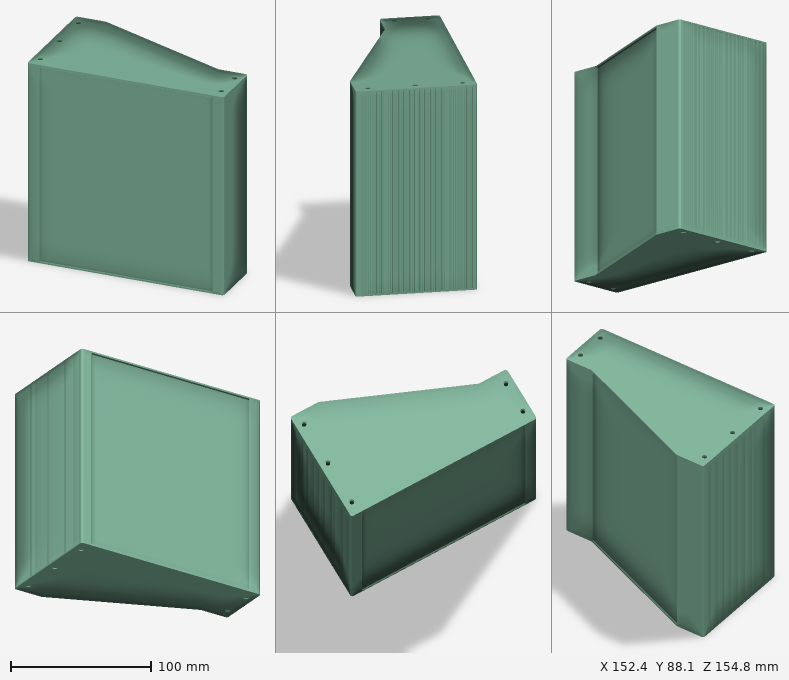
import cadquery as cq
import math

WIDTH = 152.4
DEPTH = 88.14
LOW_DEPTH = 43.69
TOTAL_HEIGHT = 154.84
PLATE_THICKNESS = 1.22
CORNER_RADIUS = 1.778

SLOPE_START_X = 23.3
SLOPE_END_X = 129.6

PLATE_HOLE_DIAMETER = 3.81
RAIL_HOLE_DIAMETER = 3.1
HOLE_SIDE_INSET = 6.0
HOLE_EDGE_INSET = 9.75

RAIL_WIDTH = 9.55
REAR_LIP_THICKNESS = 6.0
NOSE_REACH = 1.0
SLOT_GRIP = 2.0

PANEL_THICKNESS = 2.0
PANEL_RECESS = NOSE_REACH
PANEL_END_GAP = 0.6

GROOVE_WIDTH = 0.662
GROOVE_DEPTH = 0.5
GROOVE_PITCH = 2 * GROOVE_WIDTH
INNER_GROOVE_COUNT = 15
OUTER_GROOVE_COUNT = 13
MIDDLE_LAND = 4 * GROOVE_WIDTH
GROUP_GAP = 5 * GROOVE_WIDTH

rail_height = TOTAL_HEIGHT - 2 * PLATE_THICKNESS
panel_height = rail_height - 2 * PANEL_END_GAP
right_rail_x = WIDTH - RAIL_WIDTH
slope_start = (SLOPE_START_X, DEPTH)
slope_end = (SLOPE_END_X, LOW_DEPTH)
slope_angle = math.atan2(DEPTH - LOW_DEPTH, SLOPE_END_X - SLOPE_START_X)
front_opening = WIDTH - 2 * RAIL_WIDTH
rear_opening = math.dist(slope_start, slope_end) - 2 * NOSE_REACH

tip_along = NOSE_REACH * (math.cos(slope_angle) - math.sin(slope_angle))
tip_across = NOSE_REACH * (math.cos(slope_angle) + math.sin(slope_angle))
rear_left_tip = (SLOPE_START_X + tip_along, DEPTH - tip_across)
rear_right_tip = (SLOPE_END_X - tip_across, LOW_DEPTH - tip_along)


def case_block(height):
    """Full outline of the case, standing on z = 0."""
    block = (
        cq.Workplane("XY")
        .polyline([(0, 0), (WIDTH, 0), (WIDTH, LOW_DEPTH), slope_end, slope_start, (0, DEPTH)])
        .close()
        .extrude(height)
    )
    return block.edges("|Z and (<X or >X)").fillet(CORNER_RADIUS)


def cut_screw_holes(body, diameter):
    right_x = WIDTH - HOLE_SIDE_INSET
    points = [
        (HOLE_SIDE_INSET, HOLE_EDGE_INSET),
        (HOLE_SIDE_INSET, DEPTH / 2),
        (HOLE_SIDE_INSET, DEPTH - HOLE_EDGE_INSET),
        (right_x, HOLE_EDGE_INSET),
        (right_x, LOW_DEPTH - HOLE_EDGE_INSET),
    ]
    holes = cq.Workplane("XY").pushPoints(points).circle(diameter / 2).extrude(rail_height)
    return body.cut(holes)


def make_end_plate(bottom_z):
    plate = cut_screw_holes(case_block(PLATE_THICKNESS), PLATE_HOLE_DIAMETER)
    return plate.translate((0, 0, bottom_z))


def make_panel(opening, height):
    """Panel along X that fills an opening from x = 0 to x = opening and enters the rail at each end."""
    panel = cq.Workplane("XY").box(opening + 2 * SLOT_GRIP, PANEL_THICKNESS, height, centered=False)
    bottom_z = (rail_height - height) / 2
    return panel.translate((-SLOT_GRIP, PANEL_RECESS, bottom_z))


def make_nose_bevels(opening):
    """Space in front of a panel, wider by NOSE_REACH at each end on the outside of the case."""
    return (
        cq.Workplane("XY")
        .polyline([(-NOSE_REACH, 0), (opening + NOSE_REACH, 0), (opening, NOSE_REACH), (0, NOSE_REACH)])
        .close()
        .extrude(rail_height)
    )


def place_at_front(body):
    return body.translate((RAIL_WIDTH, 0, 0))


def place_on_slope(body):
    """Turns a body so that its X runs up the slope from the right rear nose and it faces the rear."""
    turned = body.translate((NOSE_REACH, 0, 0)).rotate(
        (0, 0, 0), (0, 0, 1), 180 - math.degrees(slope_angle)
    )
    return turned.translate((*slope_end, 0))


def make_cavity():
    """Space inside the case between the two rails."""
    rear_left_y = DEPTH - REAR_LIP_THICKNESS
    rear_right_y = LOW_DEPTH - REAR_LIP_THICKNESS
    return (
        cq.Workplane("XY")
        .polyline([
            (RAIL_WIDTH, NOSE_REACH),
            (right_rail_x, NOSE_REACH),
            (right_rail_x, rear_right_y),
            (rear_right_tip[0], rear_right_y),
            rear_right_tip,
            rear_left_tip,
            (rear_left_tip[0], rear_left_y),
            (RAIL_WIDTH, rear_left_y),
        ])
        .close()
        .extrude(rail_height)
    )


def make_both_rails():
    """The left and right rails, kept apart by the panel openings and the cavity."""
    rails = cut_screw_holes(case_block(rail_height), RAIL_HOLE_DIAMETER)
    rails = rails.cut(make_cavity())
    for opening, place in ((front_opening, place_at_front), (rear_opening, place_on_slope)):
        rails = rails.cut(place(make_nose_bevels(opening)))
        rails = rails.cut(place(make_panel(opening, rail_height)))
    return rails


def cut_side_grooves(rail):
    """Grooves in the -X face, mirrored about its middle."""
    inner_start = (MIDDLE_LAND + GROOVE_WIDTH) / 2
    outer_start = inner_start + (INNER_GROOVE_COUNT - 1) * GROOVE_PITCH + GROUP_GAP + GROOVE_WIDTH
    offsets = [inner_start + i * GROOVE_PITCH for i in range(INNER_GROOVE_COUNT)]
    offsets += [outer_start + i * GROOVE_PITCH for i in range(OUTER_GROOVE_COUNT)]
    points = [(0, DEPTH / 2 + side * offset) for side in (-1, 1) for offset in offsets]
    grooves = (
        cq.Workplane("XY").pushPoints(points).rect(2 * GROOVE_DEPTH, GROOVE_WIDTH).extrude(rail_height)
    )
    return rail.cut(grooves)


bottom_plate = make_end_plate(-PLATE_THICKNESS)
top_plate = make_end_plate(rail_height)

both_rails = make_both_rails()
left_rail = cut_side_grooves(both_rails.solids("<X"))
right_rail = both_rails.solids(">X")

front_panel = place_at_front(make_panel(front_opening, panel_height))
rear_panel = place_on_slope(make_panel(rear_opening, panel_height))

result = cq.Compound.makeCompound([
    bottom_plate.val(),
    top_plate.val(),
    left_rail.val(),
    right_rail.val(),
    front_panel.val(),
    rear_panel.val(),
])